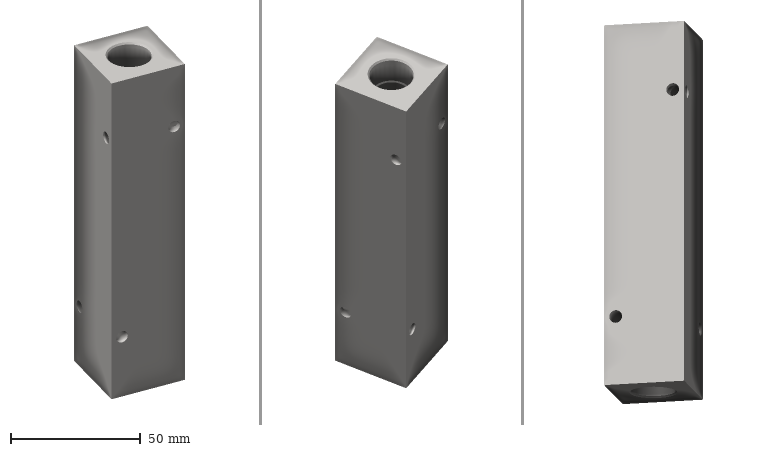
import cadquery as cq

width = 31.7
length = 142.9

bore_diameter = 14.3
port_diameter = 17.1
port_floor_diameter = 16.3
port_depth = 10.6
port_chamfer = 0.65

cross_hole_diameter = 5.0
cross_hole_offset = 11.3
cross_hole_height = 44.5


def port_cutter():
    """Tapered port with a chamfered mouth, opening at the upper end of the block."""
    end = length / 2
    taper_top = end - port_chamfer
    floor = end - port_depth
    mouth_radius = port_diameter / 2 + port_chamfer
    profile = [
        (0, end),
        (mouth_radius, end),
        (port_diameter / 2, taper_top),
        (port_floor_diameter / 2, floor),
        (0, floor),
    ]
    return cq.Workplane("XZ").polyline(profile).close().revolve(360, (0, 0), (0, 1))


def cross_holes(plane, upper_side):
    """Two holes through the block; the upper one lies on the given side."""
    offset = upper_side * cross_hole_offset
    return (
        cq.Workplane(plane)
        .pushPoints([(offset, cross_hole_height), (-offset, -cross_hole_height)])
        .circle(cross_hole_diameter / 2)
        .extrude(width, both=True)
    )


block = cq.Workplane("XY").box(width, width, length)
block = block.cut(cq.Workplane("XY").circle(bore_diameter / 2).extrude(length, both=True))

upper_port = port_cutter()
block = block.cut(upper_port).cut(upper_port.mirror("XY"))

block = block.cut(cross_holes("XZ", 1))
result = block.cut(cross_holes("YZ", 1))